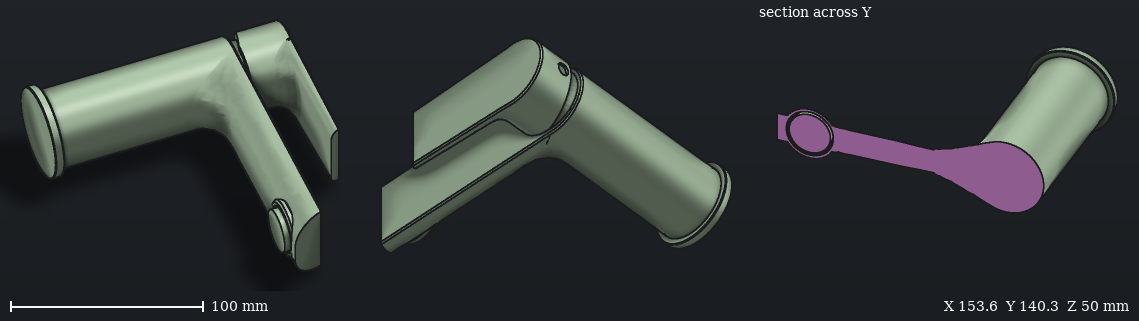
import cadquery as cq
import math


overall_length = 153.6
base_diameter = 50.0
base_radius = base_diameter / 2
base_height = 5.0
base_edge_chamfer = 0.5
body_radius = 21.5
body_top = 109.9
body_edge_chamfer = 0.9
neck_radius = 18.5

spout_bottom = 92.5
spout_root_half_width = 21.4
spout_end_half_width = 20.6
spout_flat_half_width = 5.2
spout_top_band = 1.4
spout_tip_x = overall_length - base_radius
spout_tip_setback = 5.5
spout_blend_radius = 16.9

aerator_x = 110.0
aerator_diameter = 23.5
aerator_bottom = 89.4
pad_diameter = 32.0
pad_height = 3.7
pad_chamfer = 1.2
groove_diameter = 26.1
groove_depth = 0.8

head_top = 140.3
head_bottom = 112.3
head_back_bottom = 118.0
head_edge_chamfer = 0.9
lever_root_underside = 133.2
lever_tip_underside = 134.7
lever_root_half_width = 21.2
lever_tip_half_width = 19.2
lever_top_band = 1.4
lever_side_radius = 4.6
lever_tip_x = 73.3
lever_tip_setback = 1.8
lever_blend_radius = 11.5
pin_hole_diameter = 7.4
pin_hole_y = 123.8
pin_hole_depth = 1.5

cut_margin = 30.7


def column_disc(radius, y_start, y_end, x=0.0):
    """Cylinder along Y between two heights."""
    height = y_end - y_start
    return cq.Workplane(cq.Plane((x, y_start, 0), (1, 0, 0), (0, 1, 0))).circle(radius).extrude(height)


def arm_section(x, half_width, flat_half_width, bottom, band_bottom, top):
    """Wire across X: flat underside, rounded flanks, narrow upright sides and flat top."""
    plane = cq.Plane((x, 0, 0), (0, 0, 1), (-1, 0, 0))
    diagonal = math.sqrt(0.5)
    flank_width = half_width - flat_half_width
    flank_z = flat_half_width + flank_width * diagonal
    flank_y = band_bottom - (band_bottom - bottom) * diagonal
    return (
        cq.Workplane(plane)
        .moveTo(-flat_half_width, bottom)
        .lineTo(flat_half_width, bottom)
        .threePointArc((flank_z, flank_y), (half_width, band_bottom))
        .lineTo(half_width, top)
        .lineTo(-half_width, top)
        .lineTo(-half_width, band_bottom)
        .threePointArc((-flank_z, flank_y), (-flat_half_width, bottom))
        .close()
        .val()
    )


def slanted_end(arm, tip_x, setback, bottom, top):
    """Trim an arm so that its end leans back towards the top."""
    waste = (
        cq.Workplane("XY")
        .moveTo(tip_x, bottom)
        .lineTo(tip_x - setback, top)
        .lineTo(tip_x + cut_margin, top)
        .lineTo(tip_x + cut_margin, bottom)
        .close()
        .extrude(cut_margin, both=True)
    )
    return arm.cut(waste)


def make_arm(root, tip):
    return cq.Workplane(cq.Solid.makeLoft([root, tip], True))


def blend_to_column(solid, bottom, top, radius):
    """Fillet the edges where the underside and flanks of an arm meet the column."""
    reach = body_radius + 1.5
    corner = cq.selectors.BoxSelector((1.5, bottom - 0.3, -reach), (reach, top - 0.3, reach))
    return solid.edges(corner).fillet(radius)


def make_spout_body():
    band_bottom = body_top - spout_top_band
    root = arm_section(0, spout_root_half_width, spout_flat_half_width, spout_bottom, band_bottom, body_top)
    tip = arm_section(
        spout_tip_x, spout_end_half_width, spout_flat_half_width, spout_bottom, band_bottom, body_top
    )
    spout = slanted_end(make_arm(root, tip), spout_tip_x, spout_tip_setback, spout_bottom, body_top)
    column = column_disc(body_radius, 0, body_top)
    body = blend_to_column(column.union(spout), spout_bottom, band_bottom, spout_blend_radius)
    return body.faces(">Y").chamfer(body_edge_chamfer)


def make_aerator():
    """Round pad under the spout with the aerator standing in a ring groove."""
    pad = column_disc(pad_diameter / 2, spout_bottom, spout_bottom + pad_height, aerator_x)
    pad = pad.faces("<Y").chamfer(pad_chamfer)
    groove = column_disc(groove_diameter / 2, spout_bottom, spout_bottom + groove_depth, aerator_x)
    aerator = column_disc(aerator_diameter / 2, aerator_bottom, spout_bottom + pad_height, aerator_x)
    return pad, groove, aerator


def make_head():
    """Lever head with its lower rim rising towards the back, and the lever."""
    band_bottom = head_top - lever_top_band
    root = arm_section(
        0, lever_root_half_width, lever_root_half_width - lever_side_radius,
        lever_root_underside, band_bottom, head_top,
    )
    tip = arm_section(
        lever_tip_x, lever_tip_half_width, lever_tip_half_width - lever_side_radius,
        lever_tip_underside, band_bottom, head_top,
    )
    lever = slanted_end(make_arm(root, tip), lever_tip_x, lever_tip_setback, lever_tip_underside, head_top)
    head = column_disc(body_radius, head_bottom, head_top).union(lever)
    head = blend_to_column(head, lever_root_underside, band_bottom, lever_blend_radius)
    head = head.faces(">Y").chamfer(head_edge_chamfer)
    back_cut = (
        cq.Workplane("XY")
        .moveTo(0, head_bottom)
        .lineTo(-body_radius, head_back_bottom)
        .lineTo(-body_radius, head_bottom)
        .close()
        .extrude(cut_margin, both=True)
    )
    pin_hole = (
        cq.Workplane("YZ", origin=(-body_radius, 0, 0))
        .center(pin_hole_y, 0)
        .circle(pin_hole_diameter / 2)
        .extrude(pin_hole_depth)
    )
    return head.cut(back_cut).cut(pin_hole)


base = column_disc(base_radius, 0, base_height).edges().chamfer(base_edge_chamfer)
neck = column_disc(neck_radius, body_top, head_back_bottom)
neck = neck.intersect(cq.Workplane("XY", origin=(0, body_top, 0)).sphere(neck_radius))
aerator_pad, aerator_groove, aerator = make_aerator()

result = make_spout_body().union(base).union(aerator_pad).cut(aerator_groove).union(aerator)
result = result.union(neck).union(make_head())